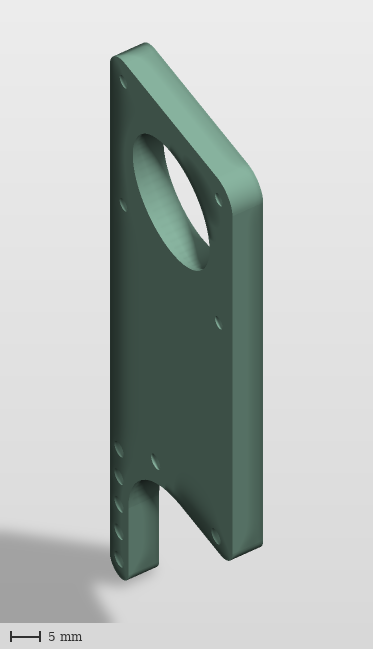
import cadquery as cq

width = 40.0
thickness = 6.0
height = 131.0
top_corner_radius = 5.0
lower_corner_radius = 3.9

arm_width = 6.0
arm_end_radius = arm_width / 2
body_bottom = 37.0
arm_blend_radius = 17.0

bore_diameter = 25.0
bore_x = width / 2
bore_z = 110.4
mount_pitch = 31.0
mount_diameter = 2.5

screw_diameter = 3.0
lower_hole_x = 14.9
lower_hole_pitch = 19.6
lower_hole_z = 40.2

arm_hole_count = 5
arm_hole_pitch = 7.0
arm_hole_first_z = 4.2


def make_plate():
    """Extrude the body and its arm, then round the corners."""
    plate = (
        cq.Workplane("XZ")
        .moveTo(0, arm_end_radius)
        .threePointArc((arm_width / 2, 0), (arm_width, arm_end_radius))
        .lineTo(arm_width, body_bottom)
        .lineTo(width, body_bottom)
        .lineTo(width, height)
        .lineTo(0, height)
        .close()
        .extrude(-thickness)
    )
    plate = plate.edges("|Y and >Z").fillet(top_corner_radius)
    inner_corner = cq.NearestToPointSelector((arm_width, thickness / 2, body_bottom))
    plate = plate.edges("|Y").edges(inner_corner).fillet(arm_blend_radius)
    outer_corner = cq.NearestToPointSelector((width, thickness / 2, body_bottom))
    return plate.edges("|Y").edges(outer_corner).fillet(lower_corner_radius)


def drill(plate, points, diameter):
    """Cut through holes at the given (x, z) points."""
    cutters = cq.Workplane("XZ").pushPoints(points).circle(diameter / 2).extrude(-thickness)
    return plate.cut(cutters)


mount_points = [
    (bore_x + side * mount_pitch / 2, bore_z + level * mount_pitch / 2)
    for side in (-1, 1)
    for level in (-1, 1)
]
lower_points = [(lower_hole_x + i * lower_hole_pitch, lower_hole_z) for i in range(2)]
arm_points = [
    (arm_width / 2, arm_hole_first_z + i * arm_hole_pitch)
    for i in range(arm_hole_count)
]

result = make_plate()
result = drill(result, [(bore_x, bore_z)], bore_diameter)
result = drill(result, mount_points, mount_diameter)
result = drill(result, lower_points + arm_points, screw_diameter)